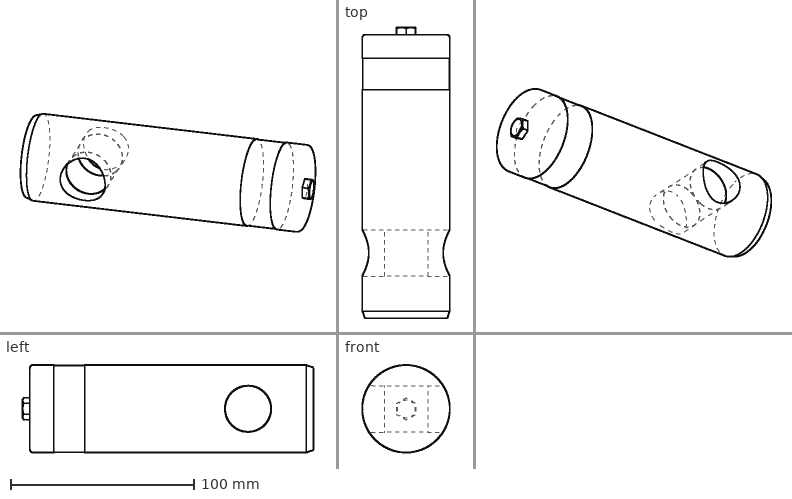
import cadquery as cq
import math

total_length = 159.0
bar_diameter = 48.0
bar_radius = bar_diameter / 2

shoulder_y = 4.0
rim_diameter = 46.0
rim_outer_radius = rim_diameter / 2
taper_start_y = 3.0
taper_start_radius = 23.5
rim_radius = 1.1

neck_diameter = 47.5
neck_radius = neck_diameter / 2
neck_start_y = 125.0
neck_end_y = 142.0
band_edge_radius = 1.9

cross_hole_diameter = 25.0
hole_mouth_diameter = 25.5
hole_step_x = 12.0
cross_hole_y = 35.8

head_height = 4.0
head_across_flats = 10.5
head_across_corners = head_across_flats / math.cos(math.pi / 6)
head_tip_diameter = 9.7
head_chamfer_height = 0.6
rear_face_y = total_length - head_height


def round_quarter(radius):
    """Offset from the corner of a quarter round to the middle of its arc."""
    return radius * (1 - math.sqrt(0.5))


def cross_cylinder(diameter, start_x, end_x):
    """Cylinder along X on the axis of the cross hole."""
    return (
        cq.Workplane("YZ", origin=(start_x, cross_hole_y, 0))
        .circle(diameter / 2)
        .extrude(end_x - start_x)
    )


def make_bar():
    """Turn the stepped bar about the Y axis and drill the cross hole."""
    rim_mid = round_quarter(rim_radius)
    edge_mid = round_quarter(band_edge_radius)
    bar = (
        cq.Workplane("XY")
        .lineTo(rim_outer_radius - rim_radius, 0)
        .threePointArc((rim_outer_radius - rim_mid, rim_mid), (rim_outer_radius, rim_radius))
        .lineTo(taper_start_radius, taper_start_y)
        .lineTo(bar_radius, shoulder_y)
        .lineTo(bar_radius, neck_start_y)
        .lineTo(neck_radius, neck_start_y)
        .lineTo(neck_radius, neck_end_y)
        .lineTo(bar_radius, neck_end_y)
        .lineTo(bar_radius, rear_face_y - band_edge_radius)
        .threePointArc(
            (bar_radius - edge_mid, rear_face_y - edge_mid),
            (bar_radius - band_edge_radius, rear_face_y),
        )
        .lineTo(0, rear_face_y)
        .close()
        .revolve(360, (0, 0, 0), (0, 1, 0))
    )
    bar = bar.cut(cross_cylinder(cross_hole_diameter, -bar_radius, bar_radius))
    for mouth_start in (-bar_radius, hole_step_x):
        mouth_end = mouth_start + bar_radius - hole_step_x
        bar = bar.cut(cross_cylinder(hole_mouth_diameter, mouth_start, mouth_end))
    return bar


def make_head():
    """Hexagonal head with two corners on Z and its outer corners turned to a cone."""
    hexagon = (
        cq.Workplane("XZ", origin=(0, rear_face_y, 0))
        .transformed(rotate=(0, 0, 90))
        .polygon(6, head_across_corners)
        .extrude(-head_height)
    )
    corner_radius = head_across_corners / 2
    turned_blank = (
        cq.Workplane("XY")
        .moveTo(0, rear_face_y)
        .lineTo(corner_radius, rear_face_y)
        .lineTo(corner_radius, total_length - head_chamfer_height)
        .lineTo(head_tip_diameter / 2, total_length)
        .lineTo(0, total_length)
        .close()
        .revolve(360, (0, 0, 0), (0, 1, 0))
    )
    return hexagon.intersect(turned_blank)


bar = make_bar()
head = make_head()
result = cq.Compound.makeCompound([bar.val(), head.val()])